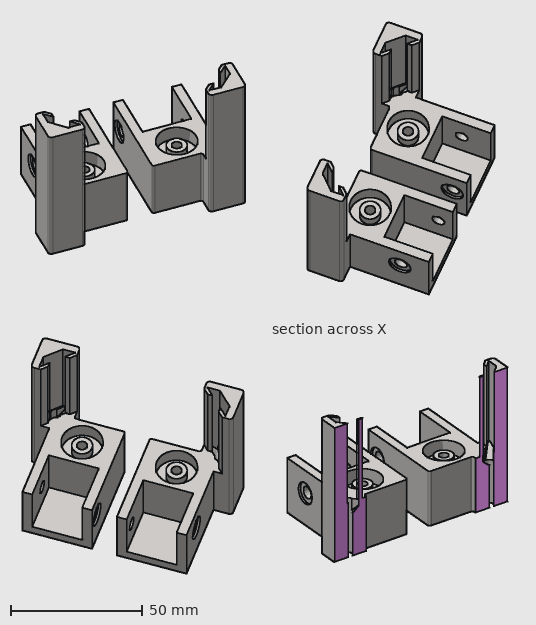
import cadquery as cq
import math


pair_width = 81.0

block_length = 40.0
block_width = 28.0
block_height = 24.0
block_corner_radius = 1.0

wall = 4.0
slot_length = 20.0

outer_cross_hole_x = 12.0
inner_cross_hole_x = 6.0
cross_hole_diameter = 5.0
spot_face_diameter = 9.0
spot_face_depth = 1.0

pocket_x = 30.0
pocket_diameter = 16.0
pocket_depth = 6.0
boss_diameter = 8.0
boss_height = 4.0
boss_hole_diameter = 4.0
boss_hole_depth = 9.7

post_side = 15.0
post_height = 59.0
post_corner_radius = 1.4
root_fillet_radius = 1.0

lip_front = 2.8
groove_front = 1.45
groove_back = 2.1
groove_end = 4.45
throat_reach = 1.3

post_hole_diameter = 4.0
countersink_diameter = 13.9
countersink_band = 3.1

post_x = block_length
post_y = (pair_width - post_side) / 2
block_outer_y = post_y
block_inner_y = block_outer_y - block_width
block_mid_y = (block_outer_y + block_inner_y) / 2
cross_hole_z = wall + (block_height - wall) / 2


def block_blank():
    blank = cq.Workplane("XY").box(block_length, block_width, block_height, centered=False)
    blank = blank.translate((0, block_inner_y, 0))
    return blank.edges("|Z and >X and <Y").fillet(block_corner_radius)


def post_blank():
    blank = cq.Workplane("XY").box(post_side, post_side, post_height, centered=(True, True, False))
    return blank.edges("|Z").fillet(post_corner_radius).translate((post_x, post_y, 0))


def root_fillet():
    """Concave fillet where the far face of the block meets the post."""
    corner_y = post_y - post_side / 2
    radius = root_fillet_radius
    arc_mid = radius * (1 - math.sqrt(0.5))
    return (
        cq.Workplane("XY")
        .moveTo(post_x, corner_y)
        .lineTo(post_x + radius, corner_y)
        .threePointArc((post_x + arc_mid, corner_y - arc_mid), (post_x, corner_y - radius))
        .close()
        .extrude(block_height)
    )


def clevis_slot():
    slot_width = block_width - 2 * wall
    return (
        cq.Workplane("XY")
        .box(slot_length, slot_width, block_height - wall, centered=(False, True, False))
        .translate((0, block_mid_y, wall))
    )


def cylinder_along_y(diameter, x, start_y, length):
    start = cq.Vector(x, start_y, cross_hole_z)
    return cq.Workplane(cq.Solid.makeCylinder(diameter / 2, length, start, cq.Vector(0, 1, 0)))


def cross_hole(x, wall_y, spot_face_y):
    hole = cylinder_along_y(cross_hole_diameter, x, wall_y, wall)
    return hole.union(cylinder_along_y(spot_face_diameter, x, spot_face_y, spot_face_depth))


def cross_holes():
    outer = cross_hole(outer_cross_hole_x, block_outer_y - wall, block_outer_y - spot_face_depth)
    inner = cross_hole(inner_cross_hole_x, block_inner_y, block_inner_y)
    return outer.union(inner)


def ring_pocket():
    floor_z = block_height - pocket_depth
    boss_top_z = floor_z + boss_height
    floor = cq.Workplane("XY", origin=(pocket_x, block_mid_y, floor_z))
    boss = floor.circle(boss_diameter / 2).extrude(boss_height)
    boss_top = cq.Workplane("XY", origin=(pocket_x, block_mid_y, boss_top_z))
    hole = boss_top.circle(boss_hole_diameter / 2).extrude(-boss_hole_depth)
    return floor.circle(pocket_diameter / 2).extrude(pocket_depth).cut(boss).union(hole)


def diagonal_band(near, far, base_z, height):
    """Upright slab across the diagonal, from offset near to offset far along it, away from the block."""
    length = 2 * post_side
    return (
        cq.Workplane("XY")
        .box(far - near, length, height, centered=(False, True, False))
        .translate((near, 0, base_z))
        .rotate((0, 0, 0), (0, 0, 1), 45)
        .translate((post_x, post_y, 0))
    )


def quadrant(reach, base_z, height):
    """Upright square reaching past the post axis by reach in X and Y, and clear of the post elsewhere."""
    return (
        cq.Workplane("XY")
        .box(post_side, post_side, height, centered=False)
        .translate((post_x + reach - post_side, post_y + reach - post_side, base_z))
    )


def post_groove():
    """Diagonal face, mouth and T-groove, all above the top of the block."""
    height = post_height - block_height
    front_cut = diagonal_band(-post_side, -lip_front, block_height, height)
    mouth = quadrant(throat_reach, block_height, height)
    groove = diagonal_band(-groove_front, groove_back, block_height, height)
    groove = groove.intersect(quadrant(groove_end, block_height, height))
    return front_cut.union(mouth).union(groove)


def post_hole():
    """Through hole with a 90 degree countersink that only opens within the diagonal band."""
    radius = post_hole_diameter / 2
    mouth_radius = countersink_diameter / 2
    depth = mouth_radius - radius
    base_z = block_height - depth
    cone = cq.Workplane(cq.Solid.makeCone(radius, mouth_radius, depth))
    cone = cone.translate((post_x, post_y, base_z))
    band = diagonal_band(-countersink_band / 2, countersink_band / 2, base_z, depth)
    limits = quadrant(groove_end, base_z, depth)
    hole = cq.Workplane("XY").center(post_x, post_y).circle(radius).extrude(block_height)
    return hole.union(cone.intersect(band).intersect(limits))


def make_bracket():
    bracket = block_blank().union(post_blank()).union(root_fillet())
    bracket = bracket.cut(post_groove()).cut(post_hole())
    return bracket.cut(clevis_slot()).cut(cross_holes()).cut(ring_pocket())


upper_y_bracket = make_bracket()
lower_y_bracket = upper_y_bracket.mirror("XZ")

result = cq.Compound.makeCompound([upper_y_bracket.val(), lower_y_bracket.val()])